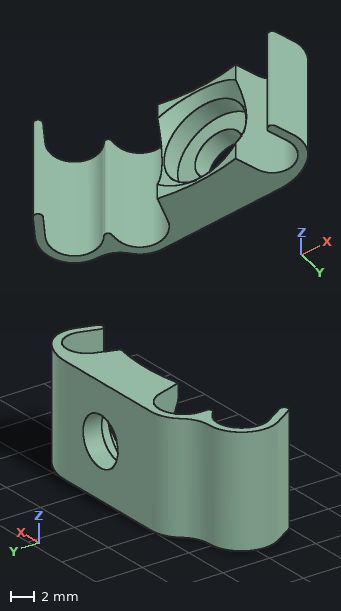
import cadquery as cq
import math

LENGTH = 26.3
DEPTH = 10.05
HEIGHT = 11.45
WALL = 0.9
TIP_RADIUS = WALL / 2

SEAT_RADIUS = 2.55
SEAT_OUTER = SEAT_RADIUS + WALL
RIGHT_RADIUS = 2.2
RIGHT_OUTER = RIGHT_RADIUS + WALL
LEFT = (SEAT_OUTER, -5.92)
MIDDLE = (8.65, -SEAT_OUTER)
RIGHT = (LENGTH - RIGHT_OUTER, -3.8)

LEFT_ARM_ANGLE = 212
RIGHT_ARM_ANGLE = -18
RIGHT_ARM_LENGTH = 1.92
BLOCK_ANGLE = 18

NUB_RADIUS = 0.37
SHOULDER_RADIUS = 6.1

BLOCK_DEPTH = 5.35
BLOCK_MIDDLE_DEPTH = 4.92
HOLE_X = 16.1
HOLE_RADIUS = 2.55
FLOOR_RADIUS = 4.42
FLOOR_DEPTH = 2.0
RIM_RADIUS = 5.35


def polar(center, radius, degrees):
    """Point on a circle."""
    angle = math.radians(degrees)
    return (center[0] + radius * math.cos(angle), center[1] + radius * math.sin(angle))


def direction(start, end):
    """Direction from one point to another, in degrees."""
    return math.degrees(math.atan2(end[1] - start[1], end[0] - start[0]))


def arc(path, center, radius, start, end):
    """Continue a path along a circle from the start angle to the end angle."""
    middle = polar(center, radius, (start + end) / 2)
    return path.threePointArc(middle, polar(center, radius, end))


def block_corner(seat, radius, angle):
    """Front corner of the block, on the wall tangent to a seat."""
    touch = polar(seat, radius, angle)
    run = (touch[1] + BLOCK_DEPTH) * math.tan(math.radians(angle))
    return (touch[0] + run, -BLOCK_DEPTH)


def make_profile():
    dx = MIDDLE[0] - LEFT[0]
    dip = LEFT[1] + SEAT_OUTER
    rise = dip - MIDDLE[1]
    valley_radius = (dx**2 + rise**2 - SEAT_OUTER**2) / (2 * (SEAT_OUTER - rise))
    valley = (LEFT[0], dip + valley_radius)
    valley_angle = direction(valley, MIDDLE)

    shoulder_drop = SHOULDER_RADIUS + RIGHT[1]
    shoulder_run = math.sqrt((SHOULDER_RADIUS - RIGHT_OUTER)**2 - shoulder_drop**2)
    shoulder = (RIGHT[0] - shoulder_run, -SHOULDER_RADIUS)
    shoulder_angle = direction(shoulder, RIGHT)

    nub_x = MIDDLE[0] - SEAT_RADIUS - NUB_RADIUS
    nub_reach = SEAT_RADIUS + NUB_RADIUS
    nub = (nub_x, LEFT[1] + math.sqrt(nub_reach**2 - (nub_x - LEFT[0])**2))
    nub_angle = direction(LEFT, nub)

    left_root = polar(LEFT, SEAT_RADIUS + TIP_RADIUS, LEFT_ARM_ANGLE)
    left_drop = left_root[1] + DEPTH - TIP_RADIUS
    left_length = -left_drop / math.sin(math.radians(LEFT_ARM_ANGLE + 90))
    left_tip = polar(left_root, left_length, LEFT_ARM_ANGLE + 90)
    right_root = polar(RIGHT, RIGHT_RADIUS + TIP_RADIUS, RIGHT_ARM_ANGLE)
    right_tip = polar(right_root, RIGHT_ARM_LENGTH, RIGHT_ARM_ANGLE - 90)

    path = cq.Workplane("XY").moveTo(*polar(left_tip, TIP_RADIUS, LEFT_ARM_ANGLE))
    path = path.lineTo(*polar(LEFT, SEAT_OUTER, LEFT_ARM_ANGLE))
    path = arc(path, LEFT, SEAT_OUTER, LEFT_ARM_ANGLE, 90)
    path = arc(path, valley, valley_radius, -90, valley_angle)
    path = arc(path, MIDDLE, SEAT_OUTER, valley_angle + 180, 90)
    path = path.lineTo(shoulder[0], 0)
    path = arc(path, shoulder, SHOULDER_RADIUS, 90, shoulder_angle)
    path = arc(path, RIGHT, RIGHT_OUTER, shoulder_angle, RIGHT_ARM_ANGLE)
    path = path.lineTo(*polar(right_tip, TIP_RADIUS, RIGHT_ARM_ANGLE))
    path = arc(path, right_tip, TIP_RADIUS, RIGHT_ARM_ANGLE, RIGHT_ARM_ANGLE - 180)

    path = path.lineTo(*polar(RIGHT, RIGHT_RADIUS, RIGHT_ARM_ANGLE))
    path = arc(path, RIGHT, RIGHT_RADIUS, RIGHT_ARM_ANGLE, 180 - BLOCK_ANGLE)
    right_corner = block_corner(RIGHT, RIGHT_RADIUS, 180 - BLOCK_ANGLE)
    left_corner = block_corner(MIDDLE, SEAT_RADIUS, BLOCK_ANGLE)
    block_middle = ((left_corner[0] + right_corner[0]) / 2, -BLOCK_MIDDLE_DEPTH)
    path = path.lineTo(*right_corner).threePointArc(block_middle, left_corner)
    path = path.lineTo(*polar(MIDDLE, SEAT_RADIUS, BLOCK_ANGLE))
    path = arc(path, MIDDLE, SEAT_RADIUS, BLOCK_ANGLE, 180)
    path = path.lineTo(*polar(nub, NUB_RADIUS, 0))
    path = arc(path, nub, NUB_RADIUS, 0, nub_angle - 180)
    path = arc(path, LEFT, SEAT_RADIUS, nub_angle, LEFT_ARM_ANGLE)
    path = path.lineTo(*polar(left_tip, TIP_RADIUS, LEFT_ARM_ANGLE - 180))
    path = arc(path, left_tip, TIP_RADIUS, LEFT_ARM_ANGLE + 180, LEFT_ARM_ANGLE)
    return path.close()


def make_screw_hole():
    """Through hole with a flat-floored counterbore and a 45 degree flare at its mouth."""
    cone_start = -BLOCK_MIDDLE_DEPTH + RIM_RADIUS - FLOOR_RADIUS
    mouth_radius = FLOOR_RADIUS + cone_start + DEPTH
    section = [
        (0, 0), (HOLE_RADIUS, 0), (HOLE_RADIUS, -FLOOR_DEPTH), (FLOOR_RADIUS, -FLOOR_DEPTH),
        (FLOOR_RADIUS, cone_start), (mouth_radius, -DEPTH), (0, -DEPTH),
    ]
    cutter = cq.Workplane("XY").polyline(section).close().revolve(360, (0, 0, 0), (0, 1, 0))
    return cutter.translate((HOLE_X, 0, HEIGHT / 2))


def make_block_envelope():
    """Region holding the block only, so the flare leaves the arms whole."""
    left_side = MIDDLE[0]
    width = RIGHT[0] - left_side
    return cq.Workplane("XY").box(width, DEPTH, HEIGHT, centered=False).translate((left_side, -DEPTH, 0))


screw_hole = make_screw_hole().intersect(make_block_envelope())
result = make_profile().extrude(HEIGHT).cut(screw_hole)